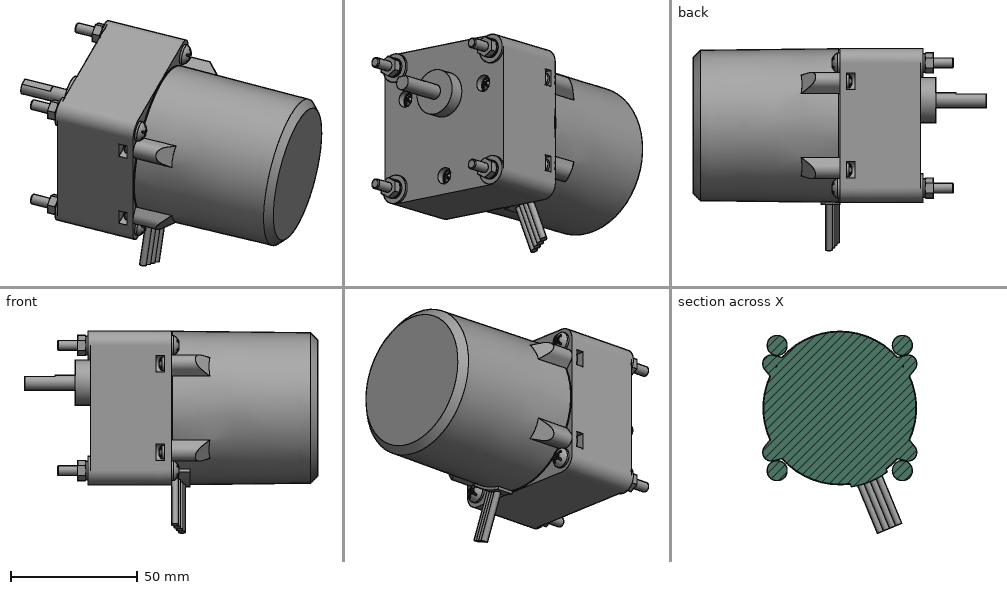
import cadquery as cq
import math


BODY_WIDTH = 61.0
BODY_HALF = BODY_WIDTH / 2
BODY_LENGTH = 32.0
PLATE_START = 26.0
BOLT_OFFSET = 70.0 / math.sqrt(2) / 2
CORNER_RADIUS = BODY_HALF - BOLT_OFFSET
PAD_THICKNESS = 1.0

SHAFT_Z = 10.0
SHAFT_DIAMETER = 6.0
SHAFT_LENGTH = 26.0
FLAT_LENGTH = 12.0
FLAT_DEPTH = 0.5
HUB_DIAMETER = 18.0
HUB_LENGTH = 6.0

BOLT_DIAMETER = 4.0
BOLT_REACH = 13.0
BOLT_CHAMFER = 0.4
BOLT_HEAD_DIAMETER = 8.0
BOLT_HEAD_HEIGHT = 3.1
BOLT_HEAD_RIM = 0.9
NUT_ACROSS_FLATS = 7.0
NUT_ACROSS_CORNERS = NUT_ACROSS_FLATS / math.cos(math.radians(30))
NUT_FACE_X = -5.0
NUT_THICKNESS = 3.3
NUT_BEVEL_LENGTH = 0.35
NUT_BEVEL_DEPTH = 0.6
WASHER_DIAMETER = 7.6

SUNK_CIRCLE_RADIUS = 23.0
SUNK_ANGLES = (30, 150, 270)
SUNK_HOLE_DIAMETER = 6.5
SUNK_HOLE_DEPTH = 3.0
SUNK_HEAD_DIAMETER = 4.7
SUNK_HEAD_HEIGHT = 2.0
SUNK_HEAD_RIM = 0.9
SUNK_WASHER_DIAMETER = 5.3
SUNK_WASHER_THICKNESS = 0.5

FIXING_Y = 27.0
FIXING_Z = 17.5
FIXING_RADIUS = math.hypot(FIXING_Y, FIXING_Z)
FIXING_ANGLE = math.degrees(math.atan2(FIXING_Z, FIXING_Y))
WINDOW_HEIGHT = 6.4
WINDOW_LENGTH = 3.4
FIXING_HEAD_DIAMETER = 5.5
FIXING_HEAD_HEIGHT = 2.3
FIXING_HEAD_RIM = 1.1

CROWN_RATIO = 0.35
CROSS_ANGLES = (45, 135)
CROSS_WIDTH = 0.7
CROSS_DEPTH = 0.8
CROSS_SPAN_RATIO = 0.8

REGISTER_LENGTH = 0.5
CASING_START = BODY_LENGTH + REGISTER_LENGTH
CASING_END = 82.0
MOTOR_END = 90.0
CAP_CHAMFER = 3.0
CAP_RADIUS = 29.85
CASING_FRONT_RADIUS = 30.4
REGISTER_RADIUS = 30.2

EAR_RADIUS = BODY_HALF - FIXING_Y
EAR_FLARE_ANGLE = 18.0
EAR_ROOT_RADIUS = 26.0
EAR_TIP_X = 41.5
EAR_TIP_RADIUS = FIXING_RADIUS + EAR_RADIUS

OUTLET_ANGLE = 22.5
OUTLET_WIDTH = 15.4
OUTLET_RADIUS = 31.5
OUTLET_ROOT_RADIUS = 26.0
OUTLET_END = 39.5
WIRE_COUNT = 4
WIRE_DIAMETER = 2.7
WIRE_PITCH = 2.6
WIRE_X_STEP = 0.93
WIRE_FIRST_X = 33.45
WIRE_ROOT_RADIUS = 28.0
WIRE_END_RADIUS = 51.5


def yz_plane(x):
    """Plane across the motor axis: local x is Y, local y is Z, the normal is +X."""
    return cq.Workplane("YZ", origin=(x, 0, 0))


def cylinder(x_start, x_end, diameter, y=0.0, z=0.0):
    return yz_plane(x_start).center(y, z).circle(diameter / 2).extrude(x_end - x_start)


def corners(y, z):
    return [(sy * y, sz * z) for sy in (-1, 1) for sz in (-1, 1)]


def domed_head(diameter, height, rim):
    """Cross-slotted screw head on X = 0, towards +X: a short rim, a spherical dome, a flat crown."""
    radius = diameter / 2
    crown = radius * CROWN_RATIO
    centre_x = (height**2 - rim**2 - radius**2 + crown**2) / (2 * (height - rim))
    sphere_radius = math.hypot(rim - centre_x, radius)
    rim_angle = math.atan2(radius, rim - centre_x)
    crown_angle = math.atan2(crown, height - centre_x)
    middle_angle = (rim_angle + crown_angle) / 2
    middle = (
        centre_x + sphere_radius * math.cos(middle_angle),
        sphere_radius * math.sin(middle_angle),
    )
    head = (
        cq.Workplane("XY")
        .lineTo(0, radius)
        .lineTo(rim, radius)
        .threePointArc(middle, (height, crown))
        .lineTo(height, 0)
        .close()
        .revolve(360, (0, 0, 0), (1, 0, 0))
    )
    for angle in CROSS_ANGLES:
        slot = (
            cq.Workplane("XY")
            .box(2 * CROSS_DEPTH, diameter * CROSS_SPAN_RATIO, CROSS_WIDTH)
            .translate((height, 0, 0))
            .rotate((0, 0, 0), (1, 0, 0), angle)
        )
        head = head.cut(slot)
    return head


def front_head(diameter, height, rim):
    """The same head with its dome towards -X."""
    return domed_head(diameter, height, rim).rotate((0, 0, 0), (0, 0, 1), 180)


def make_gearbox():
    """Square case with round corner posts that stand proud as pads, and the rear plate behind it."""
    flat_width = BODY_WIDTH - 2 * CORNER_RADIUS
    case = yz_plane(0).rect(BODY_WIDTH, flat_width).extrude(PLATE_START)
    case = case.union(yz_plane(0).rect(flat_width, BODY_WIDTH).extrude(PLATE_START))
    for y, z in corners(BOLT_OFFSET, BOLT_OFFSET):
        case = case.union(cylinder(-PAD_THICKNESS, PLATE_START, 2 * CORNER_RADIUS, y, z))
    plate = (
        yz_plane(PLATE_START)
        .rect(BODY_WIDTH, BODY_WIDTH)
        .extrude(BODY_LENGTH - PLATE_START)
        .edges("|X")
        .fillet(CORNER_RADIUS)
    )
    return case.union(plate, clean=False)


def make_shaft():
    shaft = cylinder(-SHAFT_LENGTH, 0, SHAFT_DIAMETER, 0, SHAFT_Z)
    flat = (
        cq.Workplane("XY")
        .box(FLAT_LENGTH, SHAFT_DIAMETER, FLAT_DEPTH, centered=(False, True, False))
        .translate((-SHAFT_LENGTH, 0, SHAFT_Z + SHAFT_DIAMETER / 2 - FLAT_DEPTH))
    )
    hub = cylinder(-HUB_LENGTH, 0, HUB_DIAMETER, 0, SHAFT_Z)
    return shaft.cut(flat, clean=False).union(hub, clean=False)


def make_bolt():
    """One through bolt on the X axis with its nut, washer and rear head."""
    thread = cylinder(-BOLT_REACH, 0, BOLT_DIAMETER).faces("<X").chamfer(BOLT_CHAMFER)
    nut = (
        yz_plane(NUT_FACE_X)
        .transformed(rotate=(0, 0, 90))
        .polygon(6, NUT_ACROSS_CORNERS)
        .extrude(NUT_THICKNESS)
    )
    nut_end = NUT_FACE_X + NUT_THICKNESS
    bevel = (
        cylinder(NUT_FACE_X, nut_end, NUT_ACROSS_CORNERS)
        .faces(">X")
        .chamfer(NUT_BEVEL_LENGTH, NUT_BEVEL_DEPTH)
    )
    nut = nut.intersect(bevel)
    washer = cylinder(nut_end, -PAD_THICKNESS, WASHER_DIAMETER)
    head = domed_head(BOLT_HEAD_DIAMETER, BOLT_HEAD_HEIGHT, BOLT_HEAD_RIM)
    return [thread, nut, washer, head.translate((BODY_LENGTH, 0, 0))]


def sink_front_screws(body):
    """Sink three holes into the front face and stand a screw head on a washer in each."""
    head = front_head(SUNK_HEAD_DIAMETER, SUNK_HEAD_HEIGHT, SUNK_HEAD_RIM)
    washer_x = SUNK_HOLE_DEPTH - SUNK_WASHER_THICKNESS
    for angle in SUNK_ANGLES:
        y = SUNK_CIRCLE_RADIUS * math.cos(math.radians(angle))
        z = SUNK_CIRCLE_RADIUS * math.sin(math.radians(angle))
        body = body.cut(cylinder(0, SUNK_HOLE_DEPTH, SUNK_HOLE_DIAMETER, y, z), clean=False)
        washer = cylinder(washer_x, SUNK_HOLE_DEPTH, SUNK_WASHER_DIAMETER, y, z)
        body = body.union(washer, clean=False)
        body = body.union(head.translate((SUNK_HOLE_DEPTH, y, z)), clean=False)
    return body


def open_side_windows(body):
    """Cut round-ended windows into both sides and stand a fixing screw head in each."""
    floor_x = PLATE_START + WINDOW_LENGTH
    head = front_head(FIXING_HEAD_DIAMETER, FIXING_HEAD_HEIGHT, FIXING_HEAD_RIM)
    opening = BODY_HALF - FIXING_Y
    for y, z in corners(FIXING_Y, FIXING_Z):
        side = math.copysign(1, y)
        window = cylinder(PLATE_START, floor_x, WINDOW_HEIGHT, y, z).union(
            yz_plane(PLATE_START)
            .center(y + side * opening / 2, z)
            .rect(opening, WINDOW_HEIGHT)
            .extrude(WINDOW_LENGTH)
        )
        body = body.cut(window, clean=False)
        body = body.union(head.translate((floor_x, y, z)), clean=False)
    return body


def make_motor():
    """Slightly tapered casing behind a short register, closed by a chamfered end cap."""
    profile = [
        (BODY_LENGTH, 0),
        (BODY_LENGTH, REGISTER_RADIUS),
        (CASING_START, REGISTER_RADIUS),
        (CASING_START, CASING_FRONT_RADIUS),
        (CASING_END, CAP_RADIUS),
        (MOTOR_END - CAP_CHAMFER, CAP_RADIUS),
        (MOTOR_END, CAP_RADIUS - CAP_CHAMFER),
        (MOTOR_END, 0),
    ]
    return cq.Workplane("XZ").polyline(profile).close().revolve(360, (0, 0, 0), (1, 0, 0))


def make_ear():
    """Ear in the +Y direction: a round outer edge with flared flanks and a 45 degree rear end."""
    flare = math.radians(EAR_FLARE_ANGLE)
    tangent_y = FIXING_RADIUS + EAR_RADIUS * math.sin(flare)
    tangent_z = EAR_RADIUS * math.cos(flare)
    root_z = tangent_z + (tangent_y - EAR_ROOT_RADIUS) * math.tan(flare)
    end_x = EAR_TIP_X + EAR_TIP_RADIUS - EAR_ROOT_RADIUS
    ear = (
        yz_plane(BODY_LENGTH)
        .moveTo(EAR_ROOT_RADIUS, -root_z)
        .lineTo(tangent_y, -tangent_z)
        .threePointArc((EAR_TIP_RADIUS, 0), (tangent_y, tangent_z))
        .lineTo(EAR_ROOT_RADIUS, root_z)
        .close()
        .extrude(end_x - BODY_LENGTH)
    )
    side_profile = (
        cq.Workplane("XY")
        .moveTo(BODY_LENGTH, EAR_ROOT_RADIUS)
        .lineTo(end_x, EAR_ROOT_RADIUS)
        .lineTo(EAR_TIP_X, EAR_TIP_RADIUS)
        .lineTo(BODY_LENGTH, EAR_TIP_RADIUS)
        .close()
        .extrude(root_z, both=True)
    )
    return ear.intersect(side_profile)


def make_cable():
    """Round-faced outlet block and flat cable, turned about the motor axis from the -Z direction."""
    block = (
        yz_plane(BODY_LENGTH)
        .center(0, -(OUTLET_RADIUS + OUTLET_ROOT_RADIUS) / 2)
        .rect(OUTLET_WIDTH, OUTLET_RADIUS - OUTLET_ROOT_RADIUS)
        .extrude(OUTLET_END - BODY_LENGTH)
        .intersect(cylinder(BODY_LENGTH, OUTLET_END, 2 * OUTLET_RADIUS))
    )
    parts = [block]
    for index in range(WIRE_COUNT):
        y = (index - (WIRE_COUNT - 1) / 2) * WIRE_PITCH
        x = WIRE_FIRST_X + index * WIRE_X_STEP
        parts.append(
            cq.Workplane("XY", origin=(x, y, -WIRE_END_RADIUS))
            .circle(WIRE_DIAMETER / 2)
            .extrude(WIRE_END_RADIUS - WIRE_ROOT_RADIUS)
        )
    return [part.rotate((0, 0, 0), (1, 0, 0), -OUTLET_ANGLE) for part in parts]


result = make_gearbox().union(make_shaft(), clean=False)
result = sink_front_screws(result)
result = open_side_windows(result)
result = result.union(make_motor(), clean=False)
for ear_angle in (FIXING_ANGLE, 180 - FIXING_ANGLE, 180 + FIXING_ANGLE, -FIXING_ANGLE):
    ear = make_ear().rotate((0, 0, 0), (1, 0, 0), ear_angle)
    result = result.union(ear, clean=False)
for cable_part in make_cable():
    result = result.union(cable_part, clean=False)
for bolt_y, bolt_z in corners(BOLT_OFFSET, BOLT_OFFSET):
    for bolt_part in make_bolt():
        result = result.union(bolt_part.translate((0, bolt_y, bolt_z)), clean=False)